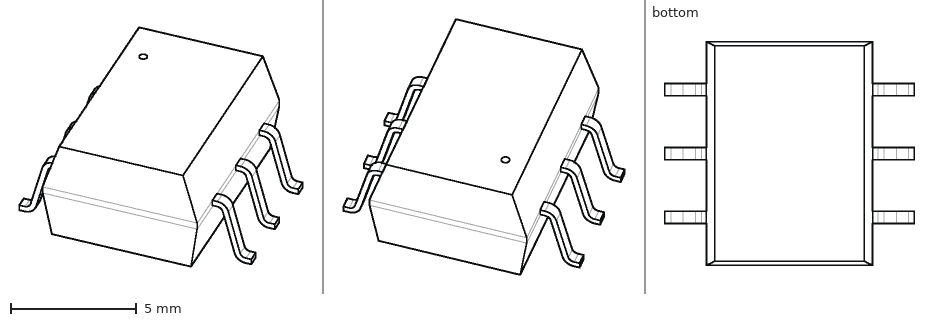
import cadquery as cq
import math

belt_x = 6.6
belt_y = 8.89
belt_height = 0.3
top_inset_x = 0.65
top_inset_y = 0.13
bottom_inset_x = 0.33
bottom_inset_y = 0.17
housing_bottom = 0.37
housing_top = 4.8

lead_count = 3
lead_pitch = 2.54
lead_width = 0.5
lead_thickness = 0.25
lead_tip_span = 9.91
bend_inner_radius = 0.25
foot_flat = 0.24
shoulder_flat = 0.2

marker_diameter = 0.33
marker_depth = 0.05
marker_x = -1.76
marker_y = lead_pitch * (lead_count - 1) / 2

belt_middle = (housing_bottom + housing_top) / 2
belt_bottom = belt_middle - belt_height / 2
belt_top = belt_middle + belt_height / 2


def tapered_block(wide_z, narrow_z, inset_x, inset_y):
    """Block as large as the belt at wide_z, inset on every side at narrow_z."""
    return (
        cq.Workplane("XY")
        .workplane(offset=wide_z)
        .rect(belt_x, belt_y)
        .workplane(offset=narrow_z - wide_z)
        .rect(belt_x - 2 * inset_x, belt_y - 2 * inset_y)
        .loft(ruled=True, combine=True)
    )


def make_marker():
    """Disc whose top is flush with the top of the housing."""
    return (
        cq.Workplane("XY")
        .workplane(offset=housing_top - marker_depth)
        .center(marker_x, marker_y)
        .circle(marker_diameter / 2)
        .extrude(marker_depth)
    )


def make_housing():
    """Belt and both tapered blocks, with a recess for the marker."""
    belt = cq.Workplane("XY").workplane(offset=belt_bottom).rect(belt_x, belt_y).extrude(belt_height)
    upper = tapered_block(belt_top, housing_top, top_inset_x, top_inset_y)
    lower = tapered_block(belt_bottom, housing_bottom, bottom_inset_x, bottom_inset_y)
    return belt.union(upper).union(lower).cut(make_marker())


def make_lead(y):
    """Lead of the -X row: a rectangle swept along its centre line from foot to belt."""
    radius = bend_inner_radius + lead_thickness / 2
    tip = (-lead_tip_span / 2, lead_thickness / 2)
    root = (-belt_x / 2, belt_middle)
    foot_end = (tip[0] + foot_flat, tip[1])
    shoulder_start = (root[0] - shoulder_flat, root[1])

    lower_centre = (foot_end[0], foot_end[1] + radius)
    upper_centre = (shoulder_start[0], shoulder_start[1] - radius)
    run = upper_centre[0] - lower_centre[0]
    rise = upper_centre[1] - lower_centre[1]
    leg_angle = math.atan2(rise, run) + math.asin(2 * radius / math.hypot(run, rise))

    def lower_bend(angle):
        return (
            lower_centre[0] + radius * math.sin(angle),
            lower_centre[1] - radius * math.cos(angle),
        )

    def upper_bend(angle):
        return (
            upper_centre[0] - radius * math.sin(angle),
            upper_centre[1] + radius * math.cos(angle),
        )

    centre_line = (
        cq.Workplane("XZ", origin=(0, y, 0))
        .moveTo(*tip)
        .lineTo(*foot_end)
        .threePointArc(lower_bend(leg_angle / 2), lower_bend(leg_angle))
        .lineTo(*upper_bend(leg_angle))
        .threePointArc(upper_bend(leg_angle / 2), shoulder_start)
        .lineTo(*root)
    )
    return (
        cq.Workplane("YZ", origin=(tip[0], y, tip[1]))
        .rect(lead_width, lead_thickness)
        .sweep(centre_line)
    )


def make_leads():
    """Both rows; the +X row mirrors the -X row."""
    leads = []
    for index in range(lead_count):
        lead = make_lead((index - (lead_count - 1) / 2) * lead_pitch)
        leads.append(lead)
        leads.append(lead.mirror("YZ"))
    return leads


housing = make_housing()
marker = make_marker()
leads = make_leads()

result = cq.Compound.makeCompound([housing.solids().val(), marker.val(), *[lead.val() for lead in leads]])